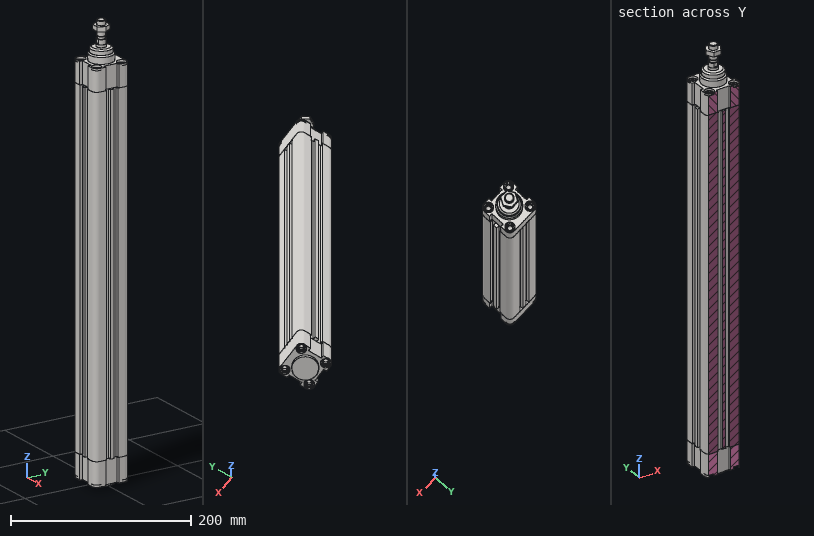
import cadquery as cq
import math

LENGTH = 546.0
WIDTH = 46.0
CORNER_RADIUS = 6.5
FULL_TURN = 360

REAR_CAP_BOTTOM = 4.0
BARREL_BOTTOM = 34.5
BARREL_TOP = 470.0
FRONT_CAP_TOP = 498.0

REAR_BOSS_DIAMETER = 30.0
FRONT_BOSS_DIAMETER = 30.0
FRONT_BOSS_TOP = 508.0
FRONT_BOSS_BEVEL = 1.5
COLLAR_DIAMETER = 26.0
COLLAR_TOP = 514.5
COLLAR_BEVEL_WIDTH = 2.0
COLLAR_BEVEL_HEIGHT = 1.5

RECESS_WIDTH = 17.0
RECESS_DEPTH = 4.0

SCREW_SPACING = 33.0
SCREW_POCKET_DIAMETER = 11.5
SCREW_POCKET_DEPTH = 3.0
SCREW_SEAT_DIAMETER = 9.0
SCREW_SEAT_DEPTH = 4.5
SCREW_BORE_DIAMETER = 6.0
SCREW_BORE_DEPTH = 8.0
SCREW_TIP_DEPTH = 10.0

GROOVE_WIDTH = 5.0
GROOVE_DEPTH = 4.0
GROOVE_OFFSET = 5.0

ROD_DIAMETER = 12.0
SHANK_BOTTOM = 517.5
SHANK_DIAMETER = 11.5
FLATS_BOTTOM = 518.5
WIDTH_ACROSS_ROD_FLATS = 10.5
NECK_BOTTOM = 523.5
NECK_DIAMETER = 9.0
THREAD_BOTTOM = 527.0
THREAD_DIAMETER = 10.5
THREAD_CHAMFER = 0.8

NUT_BOTTOM = 534.0
NUT_HEIGHT = 6.0
WIDTH_ACROSS_NUT_FLATS = 17.0
HEXAGON_SIDES = 6

PLUS_X, PLUS_Y, MINUS_X, MINUS_Y = range(4)
QUARTER_TURN = 90


def cylinder(diameter, bottom, top):
    """Cylinder on the Z axis between two heights."""
    return cq.Workplane("XY").workplane(offset=bottom).circle(diameter / 2).extrude(top - bottom)


def turned(profile):
    """Solid of revolution about Z from (radius, height) points."""
    return cq.Workplane("XZ").polyline(profile).close().revolve(FULL_TURN, (0, 0, 0), (0, 1, 0))


def square_bar(bottom, top):
    """Square bar with rounded long edges."""
    bar = cq.Workplane("XY").workplane(offset=bottom).rect(WIDTH, WIDTH).extrude(top - bottom)
    return bar.edges("|Z").fillet(CORNER_RADIUS)


def side_channel(side, offset, width, depth, bottom, top):
    """Cutter for a channel along one side, its centre moved sideways by the offset."""
    channel = (
        cq.Workplane("XY")
        .workplane(offset=bottom)
        .center(WIDTH / 2 - depth / 2, offset)
        .rect(depth, width)
        .extrude(top - bottom)
    )
    return channel.rotate((0, 0, 0), (0, 0, 1), QUARTER_TURN * side)


def screw_hole():
    """Cutter for a screw hole going down from the XY plane: pocket, seat, bore and conical tip."""
    return turned([
        (0, 0),
        (SCREW_POCKET_DIAMETER / 2, 0),
        (SCREW_POCKET_DIAMETER / 2, -SCREW_POCKET_DEPTH),
        (SCREW_SEAT_DIAMETER / 2, -SCREW_POCKET_DEPTH),
        (SCREW_SEAT_DIAMETER / 2, -SCREW_SEAT_DEPTH),
        (SCREW_BORE_DIAMETER / 2, -SCREW_SEAT_DEPTH),
        (SCREW_BORE_DIAMETER / 2, -SCREW_BORE_DEPTH),
        (0, -SCREW_TIP_DEPTH),
    ])


def cap_block(bottom, top, hole):
    """End cap block, recessed on every side but +Y, with the given hole cut at each corner."""
    block = square_bar(bottom, top)
    for side in (PLUS_X, MINUS_X, MINUS_Y):
        block = block.cut(side_channel(side, 0, RECESS_WIDTH, RECESS_DEPTH, bottom, top))
    for x in (-SCREW_SPACING / 2, SCREW_SPACING / 2):
        for y in (-SCREW_SPACING / 2, SCREW_SPACING / 2):
            block = block.cut(hole.translate((x, y, 0)))
    return block


def make_rear_cap():
    """Rear end cap with its centring boss underneath."""
    hole = screw_hole().mirror("XY").translate((0, 0, REAR_CAP_BOTTOM))
    block = cap_block(REAR_CAP_BOTTOM, BARREL_BOTTOM, hole)
    return block.union(cylinder(REAR_BOSS_DIAMETER, 0, REAR_CAP_BOTTOM))


def make_front_cap():
    """Front end cap with a bevelled boss and collar, bored to guide the rod."""
    hole = screw_hole().translate((0, 0, FRONT_CAP_TOP))
    block = cap_block(BARREL_TOP, FRONT_CAP_TOP, hole)
    boss_radius = FRONT_BOSS_DIAMETER / 2
    collar_radius = COLLAR_DIAMETER / 2
    boss = turned([
        (0, FRONT_CAP_TOP),
        (boss_radius, FRONT_CAP_TOP),
        (boss_radius, FRONT_BOSS_TOP - FRONT_BOSS_BEVEL),
        (boss_radius - FRONT_BOSS_BEVEL, FRONT_BOSS_TOP),
        (collar_radius, FRONT_BOSS_TOP),
        (collar_radius, COLLAR_TOP - COLLAR_BEVEL_HEIGHT),
        (collar_radius - COLLAR_BEVEL_WIDTH, COLLAR_TOP),
        (0, COLLAR_TOP),
    ])
    return block.union(boss).cut(cylinder(ROD_DIAMETER, BARREL_TOP, COLLAR_TOP))


def make_barrel():
    """Barrel between the caps, with two grooves along each side."""
    barrel = square_bar(BARREL_BOTTOM, BARREL_TOP)
    for side in (PLUS_X, PLUS_Y, MINUS_X, MINUS_Y):
        for offset in (-GROOVE_OFFSET, GROOVE_OFFSET):
            barrel = barrel.cut(
                side_channel(side, offset, GROOVE_WIDTH, GROOVE_DEPTH, BARREL_BOTTOM, BARREL_TOP)
            )
    return barrel


def make_shank():
    """Part of the rod below the neck, with two wrench flats facing -Y and +Y."""
    shank = cylinder(SHANK_DIAMETER, SHANK_BOTTOM, FLATS_BOTTOM)
    flatted = cylinder(SHANK_DIAMETER, FLATS_BOTTOM, NECK_BOTTOM).intersect(
        cq.Workplane("XY")
        .workplane(offset=FLATS_BOTTOM)
        .rect(SHANK_DIAMETER, WIDTH_ACROSS_ROD_FLATS)
        .extrude(NECK_BOTTOM - FLATS_BOTTOM)
    )
    return shank.union(flatted)


def make_rod():
    """Piston rod with wrench flats, a neck and a threaded end simplified to a plain cylinder."""
    thread = cylinder(THREAD_DIAMETER, THREAD_BOTTOM, LENGTH).faces(">Z").chamfer(THREAD_CHAMFER)
    return (
        cylinder(ROD_DIAMETER, BARREL_TOP, SHANK_BOTTOM)
        .union(make_shank())
        .union(cylinder(NECK_DIAMETER, NECK_BOTTOM, THREAD_BOTTOM))
        .union(thread)
    )


def make_nut():
    """Hexagon nut with two corners facing -X and +X, fitting the rod thread."""
    width_across_corners = WIDTH_ACROSS_NUT_FLATS / math.cos(math.pi / HEXAGON_SIDES)
    return (
        cq.Workplane("XY")
        .workplane(offset=NUT_BOTTOM)
        .polygon(HEXAGON_SIDES, width_across_corners)
        .circle(THREAD_DIAMETER / 2)
        .extrude(NUT_HEIGHT)
    )


rear_cap = make_rear_cap()
front_cap = make_front_cap()
barrel = make_barrel()
rod = make_rod()
nut = make_nut()

result = cq.Compound.makeCompound([
    rear_cap.val(),
    front_cap.val(),
    barrel.val(),
    rod.val(),
    nut.val(),
])